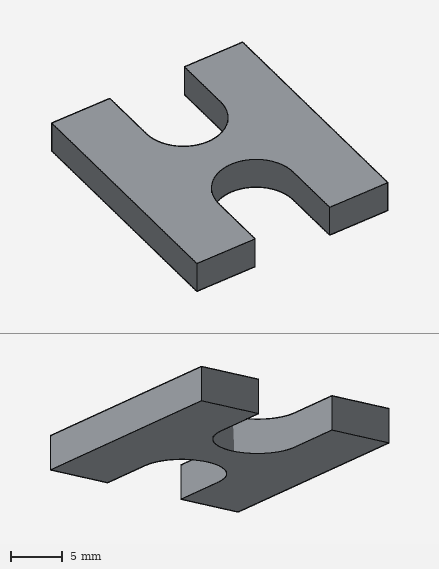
import cadquery as cq

length = 25.4
width = 22.1
thickness = 3.5

slot_width = 8.6
web_width = 4.1
slot_radius = slot_width / 2
slot_center_x = web_width / 2 + slot_radius


def open_slot(side):
    """Slot cutter opening toward +X (side = 1) or -X (side = -1)."""
    center_x = side * slot_center_x
    end_x = side * length / 2
    return (
        cq.Workplane("XY")
        .moveTo(end_x, slot_radius)
        .lineTo(center_x, slot_radius)
        .threePointArc((side * web_width / 2, 0), (center_x, -slot_radius))
        .lineTo(end_x, -slot_radius)
        .close()
        .extrude(thickness)
    )


result = cq.Workplane("XY").box(length, width, thickness, centered=(True, True, False))
for side in (-1, 1):
    result = result.cut(open_slot(side))